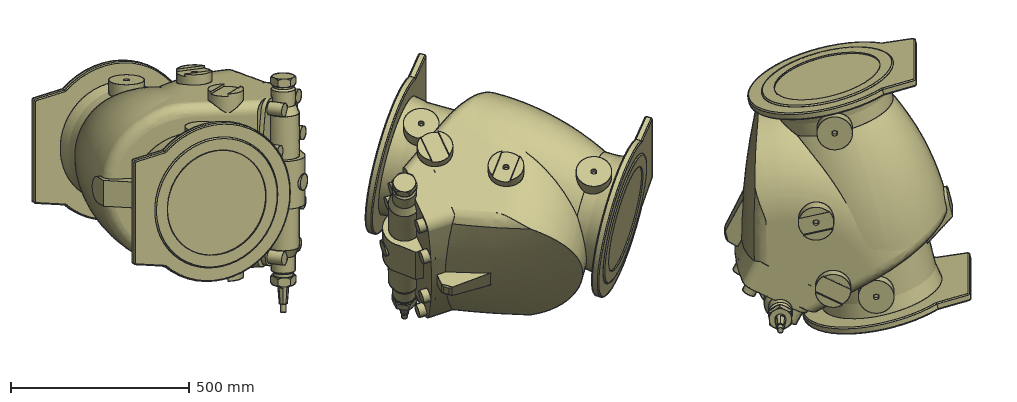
import cadquery as cq
import math


length = 699.0
raised_face_height = 4.0
raised_face_radius = 190.0
bore_diameter = 305.0
flange_thickness = 22.0
flange_radius = 231.0
flange_chamfer = 3.5
foot_depth = 252.0
foot_half_width = 152.0
foot_start_depth = 158.0
foot_corner_radius = 7.0

neck_radius = 166.0
neck_end_radius = 173.5
neck_taper_start = 282.0
inlet_end = -242.5
bulge_middle = (-69.0, 224.5)
bulge_end = (100.0, 242.0)

half_height = 244.0
dome_center = (182.0, 231.0)
dome_flat_radius = 231.0

rim_point = (230.0, 97.0)
rim_angle = 17.4
rim_fillet = 35.0

bonnet_angle = 50.0
bonnet_joint = 303.0
cover_face = 316.0
bonnet_flange_start = 231.0
bonnet_center = -94.0
bonnet_half_width = 126.0
bonnet_corner_half_width = 101.0
bonnet_flat_half_width = 63.0
bonnet_corner_height = 220.0

bolt_head_diameter = 39.0
shaft_position = (-66.0, 337.0)
pad_diameter = 100.0
center_hole_diameter = 16.0
center_hole_depth = 14.0

block_size = 2097.0
block_depth = 1048.5

half_length = length / 2
flange_outer_face = half_length - raised_face_height
flange_inner_face = flange_outer_face - flange_thickness
sin_b = math.sin(math.radians(bonnet_angle))
cos_b = math.cos(math.radians(bonnet_angle))
bonnet_plane = cq.Plane(origin=(0, 0, 0), xDir=(cos_b, -sin_b, 0), normal=(sin_b, cos_b, 0))


def bonnet_point(across, out):
    """XY position of a point given across the cover and out along the bonnet axis."""
    return (across * cos_b + out * sin_b, -across * sin_b + out * cos_b)


def beyond_joint():
    """Block that fills the space outside the cover joint."""
    plane = cq.Workplane(bonnet_plane).workplane(offset=bonnet_joint)
    return plane.rect(block_size, block_size).extrude(block_depth)


def cylinder_z(x, y, diameter, z_start, z_end):
    """Cylinder along Z between two heights."""
    plane = cq.Workplane("XY", origin=(x, y, z_start))
    return plane.circle(diameter / 2).extrude(z_end - z_start)


def both_sides(solid):
    """The solid together with its mirror image about Z = 0."""
    return solid.union(solid.mirror("XY"))


def bulged_body():
    """Inlet-side barrel, swelling from the neck to the valve seat."""
    profile = (
        cq.Workplane("XY")
        .moveTo(inlet_end, 0)
        .lineTo(inlet_end, neck_radius)
        .threePointArc(bulge_middle, bulge_end)
        .lineTo(half_length, bulge_end[1])
        .lineTo(half_length, 0)
        .close()
    )
    return profile.revolve(360, (0, 0, 0), (1, 0, 0))


def dome():
    """Flat-topped disc with a full round edge, centred on a Z axis."""
    profile = (
        cq.Workplane("XZ", origin=(dome_center[0], dome_center[1], 0))
        .moveTo(0, -half_height)
        .lineTo(dome_flat_radius, -half_height)
        .threePointArc((dome_flat_radius + half_height, 0), (dome_flat_radius, half_height))
        .lineTo(0, half_height)
        .close()
    )
    return profile.revolve(360, (0, 0, 0), (0, 1, 0))


def wall_section(plane_x, tangent_y, shoulder_y, crown_y):
    """Barrel-topped wire across X: straight sides, rounded shoulders, crowned +Y side."""
    base_y = -419.5
    side = half_height + 1.0
    knee_z = side - 0.3 * (side - bonnet_corner_height)
    knee_y = tangent_y + 0.6 * (shoulder_y - tangent_y)
    return (
        cq.Workplane("YZ", origin=(plane_x, 0, 0))
        .moveTo(base_y, -side)
        .lineTo(tangent_y, -side)
        .threePointArc((knee_y, -knee_z), (shoulder_y, -bonnet_corner_height))
        .threePointArc((crown_y, 0), (shoulder_y, bonnet_corner_height))
        .threePointArc((knee_y, knee_z), (tangent_y, side))
        .lineTo(base_y, side)
        .close()
        .wires()
        .val()
    )


def wall_envelope():
    """Space below the crowned wall that runs from the inlet flange up to the cover."""
    sections = [
        wall_section(-314.5, 168, 192.0, 199.0),
        wall_section(-105, 224, 267.0, 293.5),
        wall_section(105, 271.0, 314.0, 353.0),
        wall_section(314.5, 310.5, 349.5, 391.5),
    ]
    return cq.Workplane(cq.Solid.makeLoft(sections))


def trim_to_rim(solid):
    """Cut a solid at the tilted rim plane and round the new edge."""
    tilt = math.radians(rim_angle)
    outward = cq.Vector(math.cos(tilt), -math.sin(tilt), 0)
    rim_plane = cq.Plane(origin=(rim_point[0], rim_point[1], 0), xDir=(0, 0, 1), normal=outward)
    trimmed = solid.cut(cq.Workplane(rim_plane).rect(block_size, block_size).extrude(block_depth))
    rim_face = trimmed.faces(cq.selectors.DirectionMinMaxSelector(outward, True))
    return rim_face.edges().fillet(rim_fillet)


def main_body():
    """Barrel and bonnet base joined, ending at the rim plane and at the cover joint."""
    body = trim_to_rim(bulged_body()).union(trim_to_rim(dome()).intersect(wall_envelope()))
    return body.cut(beyond_joint())


def neck_and_pipe():
    """Neck running the full length, widening towards both flanges."""
    profile = (
        cq.Workplane("XY")
        .moveTo(-flange_inner_face, 0)
        .lineTo(-flange_inner_face, neck_end_radius)
        .lineTo(-neck_taper_start, neck_radius)
        .lineTo(neck_taper_start, neck_radius)
        .lineTo(flange_inner_face, neck_end_radius)
        .lineTo(flange_inner_face, 0)
        .close()
    )
    return profile.revolve(360, (0, 0, 0), (1, 0, 0))


def flange():
    """Inlet flange: round plate with a flat foot, a raised face and a shallow bore."""
    plane = cq.Workplane("YZ", origin=(-flange_outer_face, 0, 0))
    foot_start_half_width = math.sqrt(flange_radius**2 - foot_start_depth**2)
    outline = (
        plane.moveTo(-foot_start_depth, foot_start_half_width)
        .threePointArc((flange_radius, 0), (-foot_start_depth, -foot_start_half_width))
        .lineTo(-foot_depth, -foot_half_width)
        .lineTo(-foot_depth, foot_half_width)
        .close()
    )
    plate = outline.extrude(flange_thickness)
    plate = plate.edges("|X").edges("<Y").fillet(foot_corner_radius)
    plate = plate.faces("<X or >X").edges().chamfer(flange_chamfer)
    raised_face = plane.circle(raised_face_radius).extrude(-raised_face_height)
    raised_face = raised_face.faces("<X").edges().chamfer(raised_face_height * 0.9)
    bore = plane.circle(bore_diameter / 2).extrude(-raised_face_height)
    return plate.union(raised_face).cut(bore)


def bonnet_flange():
    """Flange under the cover and the cover plate itself, with crowned sides."""
    left_crown = bonnet_center - bonnet_half_width
    right_crown = bonnet_center + bonnet_half_width
    left_corner = bonnet_center - bonnet_corner_half_width
    right_corner = bonnet_center + bonnet_corner_half_width
    left_flat = bonnet_center - bonnet_flat_half_width
    right_flat = bonnet_center + bonnet_flat_half_width
    corner_bulge = 7.0
    knee_z = (half_height + bonnet_corner_height) / 2 + corner_bulge
    knee = (bonnet_flat_half_width + bonnet_corner_half_width) / 2 + corner_bulge / 2
    outline = (
        cq.Workplane(bonnet_plane)
        .workplane(offset=bonnet_flange_start)
        .moveTo(left_flat, half_height)
        .lineTo(right_flat, half_height)
        .threePointArc((bonnet_center + knee, knee_z), (right_corner, bonnet_corner_height))
        .threePointArc((right_crown, 0), (right_corner, -bonnet_corner_height))
        .threePointArc((bonnet_center + knee, -knee_z), (right_flat, -half_height))
        .lineTo(left_flat, -half_height)
        .threePointArc((bonnet_center - knee, -knee_z), (left_corner, -bonnet_corner_height))
        .threePointArc((left_crown, 0), (left_corner, bonnet_corner_height))
        .threePointArc((bonnet_center - knee, knee_z), (left_flat, half_height))
        .close()
    )
    return outline.extrude(cover_face - bonnet_flange_start)


def bolt_heads():
    """Cover bolts in a symmetric pattern; the heads on the outlet side stand taller."""
    middle_across, middle_height = 101.5, 101.5
    outer_across, outer_height = 71.0, 217.0
    low_head, high_head = 337.5, 361.5
    heads = cq.Workplane()
    for side, head_top in ((-1, low_head), (1, high_head)):
        for across, height in ((middle_across, middle_height), (outer_across, outer_height)):
            centers = [(bonnet_center + side * across, z) for z in (-height, height)]
            base = cq.Workplane(bonnet_plane).workplane(offset=bonnet_joint).pushPoints(centers)
            heads = heads.add(base.circle(bolt_head_diameter / 2).extrude(head_top - bonnet_joint))
    return heads.combine()


shaft_x, shaft_y = bonnet_point(*shaft_position)


def shaft_hub():
    """Bearing housing on the cover with a ramp on the upper side and a round plug."""
    bearing_diameter = 68.0
    bearing_height = 270.5
    bearing_chamfer = 5.5
    shoulder_radius = 45.5
    shoulder_height = 220.0
    shoulder_slope = 24.5
    middle_diameter = 123.0
    middle_half_width = 70.0
    plug_diameter = 47.5
    plug_end = 401.0

    bearing = cylinder_z(shaft_x, shaft_y, bearing_diameter, -bearing_height, bearing_height)
    bearing = bearing.faces("<Z or >Z").chamfer(bearing_chamfer)
    shoulder = cylinder_z(shaft_x, shaft_y, 2 * shoulder_radius, -shoulder_height, shoulder_height)
    shoulder = shoulder.faces("<Z or >Z").chamfer(shoulder_slope, shoulder_radius - bearing_diameter / 2)
    middle = cylinder_z(shaft_x, shaft_y, middle_diameter, -middle_half_width, middle_half_width)
    ramp_base = cover_face - 14
    ramp_points = [(-161.0, ramp_base), (-153.0, 338.0), (-105.5, 383.0), (-66.0, 383.0), (-66.0, ramp_base)]
    ramp = (
        cq.Workplane("XY", origin=(0, 0, -middle_half_width))
        .polyline([bonnet_point(*p) for p in ramp_points])
        .close()
        .extrude(2 * middle_half_width)
    )
    plug = (
        cq.Workplane(bonnet_plane)
        .workplane(offset=shaft_position[1])
        .center(shaft_position[0], 0)
        .circle(plug_diameter / 2)
        .extrude(plug_end - shaft_position[1])
    )
    housing = shoulder.union(middle).union(ramp).intersect(beyond_joint())
    return bearing.union(housing).union(plug)


def hex_head(z_start, z_end):
    """Chamfered hexagon, turned to line up with the cover."""
    across_corners = 72.0
    bevel = 4.0
    center = (shaft_x, shaft_y, z_start)
    plane = cq.Plane(origin=center, xDir=(cos_b, -sin_b, 0), normal=(0, 0, 1))
    hexagon = cq.Workplane(plane).polygon(6, across_corners).extrude(z_end - z_start)
    cone = cylinder_z(shaft_x, shaft_y, across_corners, z_start, z_end)
    return hexagon.intersect(cone.faces("<Z or >Z").chamfer(bevel))


def shaft_ends():
    """Hex plug on top; gland nut, squared spindle and pin at the bottom."""
    collar_diameter = 56.0
    hex_start, hex_end = 277.0, 302.0
    nut_start, nut_end = 279.5, 305.5
    spindle_diameter, square_start = 31.0, 314.5
    square_top, square_bottom, square_end = 28.0, 21.0, 363.0
    pin_diameter, pin_end = 16.0, 387.0

    collar = cylinder_z(shaft_x, shaft_y, collar_diameter, -nut_start, hex_start)
    spindle = cylinder_z(shaft_x, shaft_y, spindle_diameter, -square_start, -nut_end)
    plane = cq.Plane(origin=(shaft_x, shaft_y, -square_start), xDir=(cos_b, -sin_b, 0), normal=(0, 0, -1))
    square = (
        cq.Workplane(plane)
        .rect(square_top, square_top)
        .workplane(offset=square_end - square_start)
        .rect(square_bottom, square_bottom)
        .loft()
    )
    taper = (
        cq.Workplane(plane)
        .circle(spindle_diameter / 2)
        .workplane(offset=square_end - square_start)
        .circle(square_bottom * 0.55)
        .loft()
    )
    pin = cylinder_z(shaft_x, shaft_y, pin_diameter, -pin_end, -square_end)
    ends = collar.union(hex_head(hex_start, hex_end)).union(hex_head(-nut_end, -nut_start))
    return ends.union(spindle).union(square.intersect(taper)).union(pin)


def pads():
    """Round pads on the necks and on the bonnet, with centre holes and key slots."""
    neck_pad_x, neck_pad_height = 255.0, 198.0
    bonnet_pad_y, bonnet_pad_height, bonnet_pad_start = 106.0, 274.0, 140.0
    front_pad_x, rear_pad_x = -31.0, 179.0
    slot_width, slot_depth = 52.5, 7.0

    holed = [(-neck_pad_x, 0, neck_pad_height), (neck_pad_x, 0, neck_pad_height)]
    holed.append((front_pad_x, bonnet_pad_y, bonnet_pad_height))
    solids = cylinder_z(rear_pad_x, bonnet_pad_y, pad_diameter, bonnet_pad_start, bonnet_pad_height)
    for x, y, top in holed:
        solids = solids.union(cylinder_z(x, y, pad_diameter, 0, top))
    for x, turn in ((front_pad_x, 90), (rear_pad_x, -bonnet_angle)):
        slot = cq.Workplane("XY").box(2 * pad_diameter, slot_width, 2 * slot_depth)
        slot = slot.rotate((0, 0, 0), (0, 0, 1), turn)
        solids = solids.cut(slot.translate((x, bonnet_pad_y, bonnet_pad_height)))
    holes = cq.Workplane()
    for x, y, top in holed:
        floor = top - center_hole_depth
        if y == bonnet_pad_y:
            floor -= slot_depth
        holes = holes.add(cylinder_z(x, y, center_hole_diameter, floor, top))
    return both_sides(solids), both_sides(holes.combine())


def bottom_lug():
    """Supporting foot under the valve seat, rounded towards the inlet."""
    half_width = 38.0
    inlet_edge, foot_y = 56.0, -249.5
    side = [(inlet_edge, -70), (inlet_edge, foot_y), (131.0, foot_y), (209.0, -142.0), (209.0, -70)]
    lug = cq.Workplane("XY", origin=(0, 0, -half_width)).polyline(side).close().extrude(2 * half_width)
    plan = (
        cq.Workplane("XZ")
        .moveTo(inlet_edge + half_width, half_width)
        .threePointArc((inlet_edge, 0), (inlet_edge + half_width, -half_width))
        .lineTo(half_length, -half_width)
        .lineTo(half_length, half_width)
        .close()
        .extrude(length)
    )
    return lug.intersect(plan)


def lifting_lug():
    """Tapered rib that rises from the bonnet wall next to the cover."""
    top_y, base_y = 387.0, 279.5
    top_half_width, base_half_width = 21.0, 35.0
    edge_bevel = 4.0
    side = [(-91.0, base_y), (40.0, top_y), (64.0, top_y), (101.5, 346.0), (101.5, base_y)]
    rib = cq.Workplane("XY", origin=(0, 0, -base_half_width)).polyline(side).close()
    rib = rib.extrude(2 * base_half_width)
    taper_points = [
        (base_y, -base_half_width),
        (top_y, -top_half_width),
        (top_y, top_half_width),
        (base_y, base_half_width),
    ]
    taper = cq.Workplane("YZ", origin=(-half_length, 0, 0)).polyline(taper_points).close().extrude(length)
    return rib.intersect(taper).faces(">Y").edges().chamfer(edge_bevel)


inlet_flange = flange()
pad_solids, pad_holes = pads()
result = main_body()
for feature in (
    neck_and_pipe(),
    inlet_flange,
    inlet_flange.mirror("YZ"),
    bonnet_flange(),
    bolt_heads(),
    shaft_hub(),
    shaft_ends(),
    pad_solids,
    bottom_lug(),
    lifting_lug(),
):
    result = result.union(feature)
result = result.cut(pad_holes)